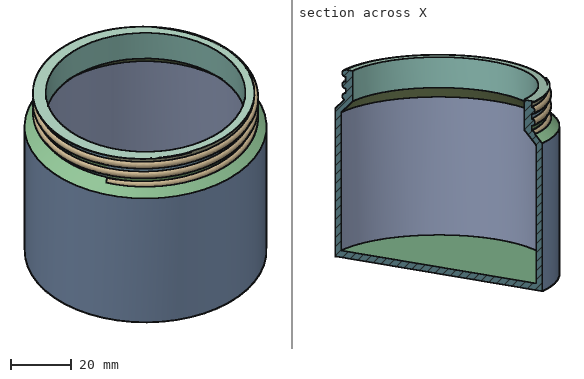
import cadquery as cq

jar_height = 65.0
body_radius = 80.0 / 2
cavity_radius = 75.0 / 2
floor_thickness = body_radius - cavity_radius

neck_height = 10.0
neck_radius = 36.0
bore_radius = 66.0 / 2
bore_depth = 10.5
neck_base_z = jar_height - neck_height
shoulder_base_z = neck_base_z - (body_radius - neck_radius)
bore_base_z = jar_height - bore_depth
cavity_shoulder_base_z = bore_base_z - (cavity_radius - bore_radius)

thread_pitch = 4.0
thread_turns = 3.125
bead_radius = 1.25
thread_start_depth = 11.4
thread_start_z = jar_height - thread_start_depth
thread_start_angle = -90.0


def turn_to_thread_start(shape):
    """Turn a shape built from the +X side so that it begins at the thread start."""
    return shape.rotate((0, 0, 0), (0, 0, 1), thread_start_angle)


def make_jar():
    """Revolved floor, wall, shoulder and neck; its seam is turned to the thread start."""
    wall = (
        cq.Workplane("XZ")
        .lineTo(body_radius, 0)
        .lineTo(body_radius, shoulder_base_z)
        .lineTo(neck_radius, neck_base_z)
        .lineTo(neck_radius, jar_height)
        .lineTo(bore_radius, jar_height)
        .lineTo(bore_radius, bore_base_z)
        .lineTo(cavity_radius, cavity_shoulder_base_z)
        .lineTo(cavity_radius, floor_thickness)
        .lineTo(0, floor_thickness)
        .close()
        .revolve(360, (0, 0, 0), (0, 1, 0))
    )
    return turn_to_thread_start(wall)


def make_thread():
    """Round bead swept along a helix on the neck wall, cut flush with the rim."""
    helix = cq.Wire.makeHelix(thread_pitch, thread_turns * thread_pitch, neck_radius)
    bead = (
        cq.Workplane("XZ")
        .center(neck_radius, 0)
        .circle(bead_radius)
        .sweep(cq.Workplane(helix), isFrenet=True)
    )
    placed_bead = turn_to_thread_start(bead).translate((0, 0, thread_start_z))
    below_rim = cq.Workplane("XY").circle(body_radius).extrude(jar_height)
    return placed_bead.intersect(below_rim)


result = make_jar().union(make_thread())